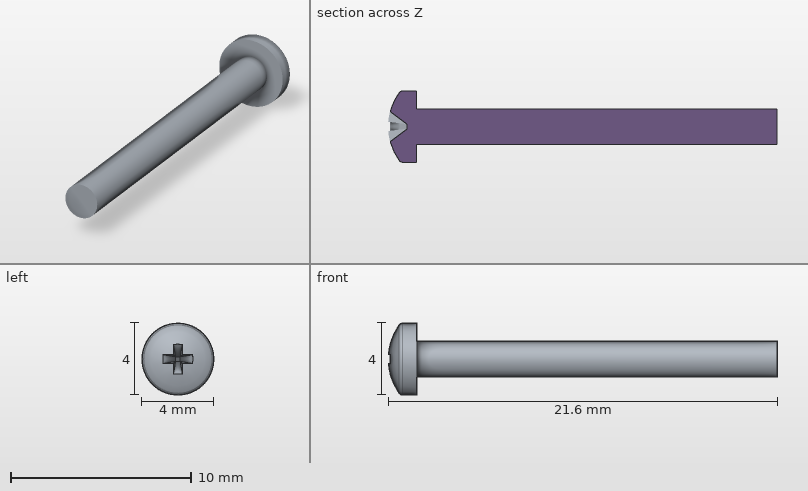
import cadquery as cq
import math

total_length = 21.58
head_height = 1.58
head_diameter = 4.0
shank_diameter = 2.0

dome_radius = 3.24
rim_fillet = 0.24

recess_span = 1.81
recess_width = 0.52
recess_floor_width = 0.25
recess_depth = 1.04

corner_radius = math.hypot(recess_width / 2, recess_width / 2)
dome_center_x = math.sqrt(dome_radius**2 - corner_radius**2)
dome_tip_x = dome_center_x - dome_radius
head_radius = head_diameter / 2
shank_radius = shank_diameter / 2

fillet_center_radius = head_radius - rim_fillet
dome_edge_angle = math.asin(fillet_center_radius / (dome_radius - rim_fillet))
rim_start_x = dome_center_x - (dome_radius - rim_fillet) * math.cos(dome_edge_angle)


def dome_point(angle):
    """Point (X, radius) on the dome at an angle from the screw axis."""
    return (
        dome_center_x - dome_radius * math.cos(angle),
        dome_radius * math.sin(angle),
    )


def fillet_point(angle):
    """Point (X, radius) on the rim fillet at an angle from the screw axis."""
    return (
        rim_start_x - rim_fillet * math.cos(angle),
        fillet_center_radius + rim_fillet * math.sin(angle),
    )


def make_body():
    """Revolve the half profile of the head and shank about the X axis."""
    fillet_middle_angle = (dome_edge_angle + math.pi / 2) / 2
    return (
        cq.Workplane("XY")
        .moveTo(dome_tip_x, 0)
        .threePointArc(dome_point(dome_edge_angle / 2), dome_point(dome_edge_angle))
        .threePointArc(fillet_point(fillet_middle_angle), (rim_start_x, head_radius))
        .lineTo(head_height, head_radius)
        .lineTo(head_height, shank_radius)
        .lineTo(total_length, shank_radius)
        .lineTo(total_length, 0)
        .close()
        .revolve(360, (0, 0, 0), (1, 0, 0))
    )


def tapered_slot(size_y, size_z):
    """Slot that narrows from its mouth, at the dome tip, to the recess floor."""
    return (
        cq.Workplane("YZ", origin=(dome_tip_x, 0, 0))
        .rect(size_y, size_z)
        .workplane(offset=recess_depth)
        .rect(recess_floor_width, recess_floor_width)
        .loft(ruled=True)
    )


cross_recess = tapered_slot(recess_span, recess_width).union(tapered_slot(recess_width, recess_span))
result = make_body().cut(cross_recess)